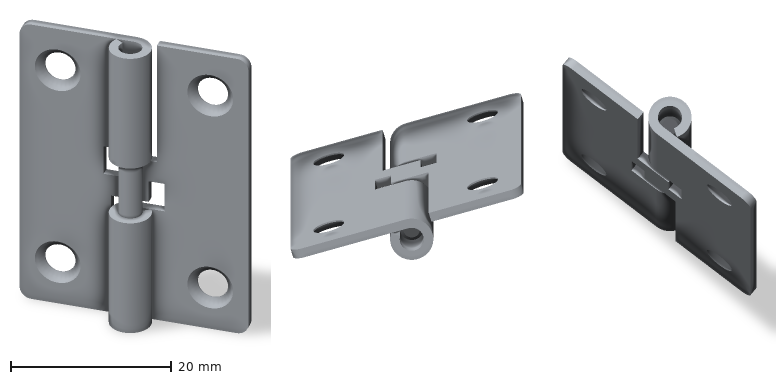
import cadquery as cq
import math

height = 40.0
width = 30.0
thickness = 1.2
knuckle_radius = 2.7
corner_radius = 1.5

bore_radius = knuckle_radius - thickness
back_y = knuckle_radius
front_y = back_y - thickness
half_height = height / 2
half_width = width / 2

knuckle_end_z = 4.0
notch_edge_x = 4.0
tab_reach = 1.9
tab_height = 3.0
side_edge_x = 3.0
curl_end_angle = 147.5

hole_x = 10.0
hole_z = 14.0
hole_radius = 2.0
countersink_radius = 3.0
countersink_depth = countersink_radius - hole_radius

pin_radius = bore_radius
pin_recess = 4.0
pin_chamfer = 0.5


def make_plate():
    """Flat part of the left leaf, with its notch, tab and rounded outer corners."""
    outline = [
        (-half_width, -half_height),
        (-side_edge_x, -half_height),
        (-side_edge_x, -tab_height),
        (tab_reach, -tab_height),
        (tab_reach, 0),
        (-notch_edge_x, 0),
        (-notch_edge_x, knuckle_end_z),
        (0, knuckle_end_z),
        (0, half_height),
        (-half_width, half_height),
    ]
    plate = cq.Workplane("XZ", origin=(0, back_y, 0)).polyline(outline).close().extrude(thickness)
    return plate.edges("|Y and <X").fillet(corner_radius)


def polar(radius, degrees):
    angle = math.radians(degrees)
    return radius * math.cos(angle), radius * math.sin(angle)


def make_knuckle():
    """Strip rolled clockwise from the top of the circle, ending in a radial face."""
    end_angle = curl_end_angle - 360
    middle_angle = (90 + end_angle) / 2
    return (
        cq.Workplane("XY", origin=(0, 0, knuckle_end_z))
        .moveTo(0, knuckle_radius)
        .threePointArc(polar(knuckle_radius, middle_angle), polar(knuckle_radius, end_angle))
        .lineTo(*polar(bore_radius, end_angle))
        .threePointArc(polar(bore_radius, middle_angle), (0, bore_radius))
        .close()
        .extrude(half_height - knuckle_end_z)
    )


def make_screw_hole(z):
    """Cutter for one through hole, countersunk from the knuckle side of the plate."""
    profile = [
        (0, 0),
        (countersink_radius, 0),
        (hole_radius, countersink_depth),
        (hole_radius, thickness),
        (0, thickness),
    ]
    cutter = cq.Workplane("XY").polyline(profile).close().revolve(360, (0, 0, 0), (0, 1, 0))
    return cutter.translate((-hole_x, front_y, z))


def make_leaf():
    leaf = make_plate().union(make_knuckle())
    for z in (-hole_z, hole_z):
        leaf = leaf.cut(make_screw_hole(z))
    return leaf


def make_pin():
    length = height - 2 * pin_recess
    pin = cq.Workplane("XY", origin=(0, 0, -length / 2)).circle(pin_radius).extrude(length)
    return pin.faces("<Z or >Z").edges().chamfer(pin_chamfer)


leaves = []
for turn in (0, 180):
    leaves.append(make_leaf().rotate((0, 0, 0), (0, 1, 0), turn).val())

pin = make_pin()

result = cq.Compound.makeCompound([*leaves, pin.val()])